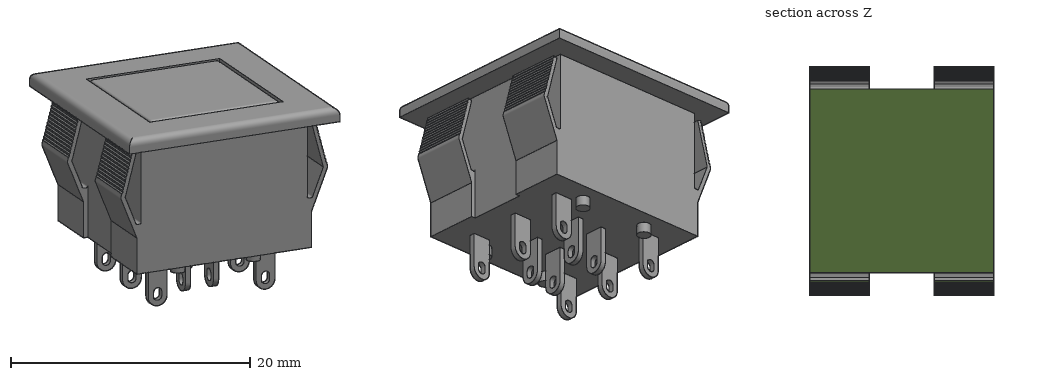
import cadquery as cq
import math


BEZEL_SIDE = 19.5
BEZEL_THICKNESS = 1.2
BEZEL_EDGE_RADIUS = 0.6

RECESS_SIDE = 12.35
RECESS_DEPTH = 0.9
CAP_GAP = 0.2
CAP_SIDE = RECESS_SIDE - 2 * CAP_GAP
CAP_EDGE_RADIUS = 0.25

BODY_SIDE = 15.4
BODY_HEIGHT = 11.5
HALF_BODY = BODY_SIDE / 2

CLIP_WIDTH = 5.0
CLIP_CENTER_X = HALF_BODY - CLIP_WIDTH / 2
CLIP_THICKNESS = 0.4
CLIP_BASE_Y = HALF_BODY + 0.4
CLIP_FOOT_Z = -8.3
CLIP_BEND_Y = 9.6
CLIP_BEND_Z = -4.57
CLIP_BEND_RADIUS = 0.3
CLIP_TIP_TILT = math.radians(15)
SLOT_FLOOR_Z = -7.1
SLOT_CORNER_RADIUS = 0.15

GROOVE_COUNT = 13
GROOVE_PITCH = 0.3
GROOVE_FACE_ANGLE = math.radians(23)
GROOVE_DEPTH = GROOVE_PITCH / 2 * math.tan(GROOVE_FACE_ANGLE)
PLAIN_LENGTH = 0.4
CLIP_TIP_LENGTH = GROOVE_COUNT * GROOVE_PITCH + PLAIN_LENGTH

TAG_LENGTH = 4.0
TAG_WIDTH = 1.75
TAG_THICKNESS = 0.5
TAG_HOLE_WIDTH = 0.75
TAG_HOLE_LENGTH = 1.1
TAG_HOLE_DROP = 2.95
CONTACT_TAG_X = (-5.0, 0.0, 5.0)
CONTACT_TAG_Y = 5.0
LAMP_TAG_X = 2.5
LAMP_TAG_Y = 1.3

PEG_DIAMETER = 1.2
PEG_LENGTH = 0.9
PEG_X = 6.0
PEG_Y = 3.5

EMBED = 0.5


def square_block(side, bottom_z, height):
    return cq.Workplane("XY").workplane(offset=bottom_z).rect(side, side).extrude(height)


def make_bezel():
    bezel = square_block(BEZEL_SIDE, 0, BEZEL_THICKNESS)
    bezel = bezel.faces(">Z").edges().fillet(BEZEL_EDGE_RADIUS)
    recess_floor = BEZEL_THICKNESS - RECESS_DEPTH
    bezel = bezel.cut(square_block(RECESS_SIDE, recess_floor, RECESS_DEPTH))
    cap = square_block(CAP_SIDE, recess_floor, RECESS_DEPTH)
    cap = cap.edges("|Z or >Z").fillet(CAP_EDGE_RADIUS)
    return bezel.union(cap)


def make_body():
    return square_block(BODY_SIDE, -BODY_HEIGHT, BODY_HEIGHT)


def along_tip(length, depth=0.0):
    """Point on the clip's upper arm: distance up from the bend, depth below the outer face."""
    sine = math.sin(CLIP_TIP_TILT)
    cosine = math.cos(CLIP_TIP_TILT)
    y = CLIP_BEND_Y - length * sine - depth * cosine
    z = CLIP_BEND_Z + length * cosine - depth * sine
    return (y, z)


def make_clip():
    """One clip on the +Y side, centred on X = 0."""
    lower_tilt = math.atan2(CLIP_BEND_Y - CLIP_BASE_Y, CLIP_BEND_Z - CLIP_FOOT_Z)
    half_turn = (CLIP_TIP_TILT + lower_tilt) / 2
    inner_bend = along_tip(CLIP_THICKNESS * math.tan(half_turn), CLIP_THICKNESS)
    slot_outer_y = inner_bend[0] - (inner_bend[1] - SLOT_FLOOR_Z) * math.tan(lower_tilt)
    root_y = HALF_BODY - EMBED

    outline = [
        (root_y, -BODY_HEIGHT),
        (CLIP_BASE_Y, -BODY_HEIGHT),
        (CLIP_BASE_Y, CLIP_FOOT_Z),
        (CLIP_BEND_Y, CLIP_BEND_Z),
        along_tip(PLAIN_LENGTH),
    ]
    for groove in range(GROOVE_COUNT):
        groove_start = PLAIN_LENGTH + groove * GROOVE_PITCH
        outline.append(along_tip(groove_start + GROOVE_PITCH / 2, GROOVE_DEPTH))
        outline.append(along_tip(groove_start + GROOVE_PITCH))
    outline += [
        along_tip(CLIP_TIP_LENGTH, CLIP_THICKNESS),
        inner_bend,
        (slot_outer_y, SLOT_FLOOR_Z),
        (HALF_BODY, SLOT_FLOOR_Z),
        (HALF_BODY, 0),
        (root_y, 0),
    ]
    clip = cq.Workplane("YZ").polyline(outline).close().extrude(CLIP_WIDTH / 2, both=True)

    for slot_corner_y in (slot_outer_y, HALF_BODY):
        corner = cq.NearestToPointSelector((0, slot_corner_y, SLOT_FLOOR_Z))
        clip = clip.edges(corner).fillet(SLOT_CORNER_RADIUS)
    bend = cq.NearestToPointSelector((0, CLIP_BEND_Y, CLIP_BEND_Z))
    return clip.edges(bend).fillet(CLIP_BEND_RADIUS)


def make_tag():
    """Solder tag with its flat faces toward -Y and +Y, centred on X = Y = 0."""
    half_width = TAG_WIDTH / 2
    top_z = EMBED - BODY_HEIGHT
    tip_z = -BODY_HEIGHT - TAG_LENGTH
    round_start_z = tip_z + half_width
    blade = (
        cq.Workplane("XZ")
        .moveTo(-half_width, top_z)
        .lineTo(-half_width, round_start_z)
        .threePointArc((0, tip_z), (half_width, round_start_z))
        .lineTo(half_width, top_z)
        .close()
        .extrude(TAG_THICKNESS / 2, both=True)
    )
    hole = (
        cq.Workplane("XZ")
        .center(0, -BODY_HEIGHT - TAG_HOLE_DROP)
        .slot2D(TAG_HOLE_LENGTH, TAG_HOLE_WIDTH, 90)
        .extrude(TAG_THICKNESS, both=True)
    )
    return blade.cut(hole)


def make_peg():
    return (
        cq.Workplane("XY")
        .workplane(offset=-BODY_HEIGHT - PEG_LENGTH)
        .circle(PEG_DIAMETER / 2)
        .extrude(PEG_LENGTH + EMBED)
    )


SIDES = (-1, 1)

result = make_bezel().union(make_body())

clip = make_clip()
for facing in (0, 180):
    for side in SIDES:
        placed_clip = clip.translate((side * CLIP_CENTER_X, 0, 0))
        result = result.union(placed_clip.rotate((0, 0, 0), (0, 0, 1), facing))

lamp_tag = make_tag()
contact_tag = lamp_tag.rotate((0, 0, 0), (0, 0, 1), 90)
peg = make_peg()
for side_y in SIDES:
    for tag_x in CONTACT_TAG_X:
        result = result.union(contact_tag.translate((tag_x, side_y * CONTACT_TAG_Y, 0)))
    for side_x in SIDES:
        result = result.union(lamp_tag.translate((side_x * LAMP_TAG_X, side_y * LAMP_TAG_Y, 0)))
        result = result.union(peg.translate((side_x * PEG_X, side_y * PEG_Y, 0)))